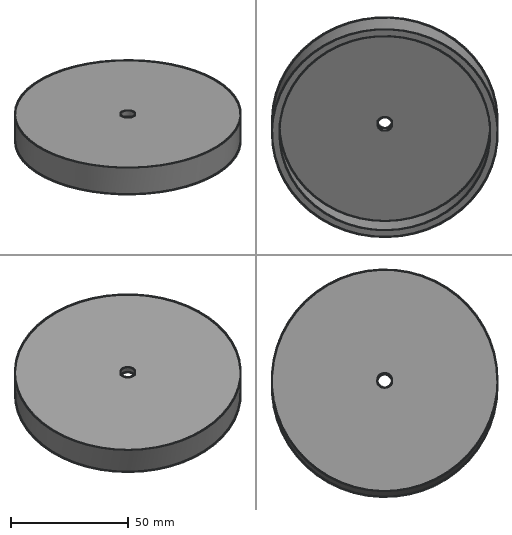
import cadquery as cq

outer_diameter = 96.4
height = 13.0
recess_diameter = 90.0
plate_thickness = 3.0
hole_diameter = 6.3

recess_depth = height - plate_thickness

disc = cq.Workplane("XY").circle(outer_diameter / 2).extrude(height)

recess = cq.Workplane("XY").circle(recess_diameter / 2).extrude(recess_depth)

center_hole = cq.Workplane("XY").circle(hole_diameter / 2).extrude(height)

result = disc.cut(recess).cut(center_hole)